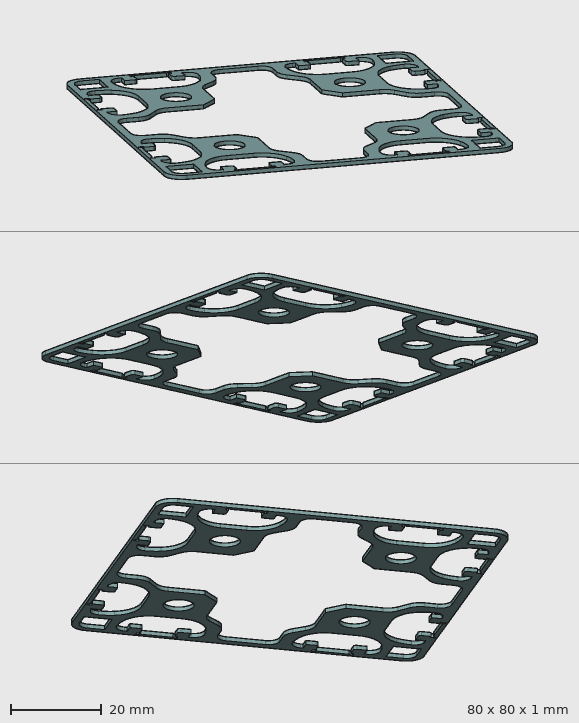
import cadquery as cq
import math

side = 80.0
thickness = 1.0
outer_radius = 4.0
half_side = side / 2

quarter_offset = side / 4
core_bore_diameter = 6.8

mouth_half_width = 4.0
lip_half_width = 7.0
lip_depth = 4.3
lip_radius = 0.6
slot_half_width = 10.0
slot_top_depth = 2.0
slot_floor_depth = 12.3
slot_shoulder_radius = 2.4
slot_floor_radius = 6.8

web_thickness = 1.0
web_end_thickness = 0.4
web_half_width = 3.7
notch_half_width = 4.6
notch_depth = 1.5

corner_hollow_near = 1.7
corner_hollow_far = 8.0
corner_hollow_radius = outer_radius - corner_hollow_near

outer_wall = 2.0
arm_half_width = 7.0
flare_half_width = 12.3
core_chamfer = 3.7
flare_start = 26.3
flare_end = 30.7
flare_radius = 4.0
arm_corner_radius = 2.6


def round_corners(prism, corners, radius):
    """Round the upright edges of a prism that stand at the given XY corners."""
    for x, y in corners:
        edge = cq.selectors.NearestToPointSelector((x, y, thickness / 2))
        prism = prism.edges("|Z").edges(edge).fillet(radius)
    return prism


def mirrored(points):
    return [(-x, y) for x, y in points]


def quarter_turns(shape):
    """Four copies of a shape spread around the Z axis."""
    return [shape.rotate((0, 0, 0), (0, 0, 1), 90 * turn) for turn in range(4)]


def make_slot():
    """Slot cutter centred on X = 0, opening towards the +Y face of the plate."""
    web_y = half_side - web_thickness
    notch_top_y = half_side - web_end_thickness
    notch_y = half_side - notch_depth
    lip_y = half_side - lip_depth
    top_y = half_side - slot_top_depth
    floor_y = half_side - slot_floor_depth

    shoulder_x = slot_half_width - slot_shoulder_radius
    flank_center_y = top_y - slot_shoulder_radius
    floor_x = math.sqrt(slot_half_width**2 - (flank_center_y - floor_y) ** 2)
    flank_mid = slot_half_width * math.sqrt(0.5)
    shoulder_mid = slot_shoulder_radius * math.sqrt(0.5)

    mouth = [
        (web_half_width, web_y),
        (notch_half_width, notch_top_y),
        (notch_half_width, notch_y),
        (mouth_half_width, notch_y),
        (mouth_half_width, lip_y),
        (lip_half_width, lip_y),
        (lip_half_width, top_y),
        (shoulder_x, top_y),
    ]
    shoulder_point = (shoulder_x + shoulder_mid, flank_center_y + shoulder_mid)
    widest_point = (slot_half_width, flank_center_y)
    flank_point = (flank_mid, flank_center_y - flank_mid)
    floor_point = (floor_x, floor_y)
    right = [shoulder_point, widest_point, flank_point, floor_point]
    left = mirrored(right)

    slot = (
        cq.Workplane("XY")
        .polyline(mouth)
        .threePointArc(right[0], right[1])
        .threePointArc(right[2], right[3])
        .lineTo(*left[3])
        .threePointArc(left[2], left[1])
        .threePointArc(left[0], mirrored(mouth)[-1])
    )
    for point in reversed(mirrored(mouth)[:-1]):
        slot = slot.lineTo(*point)
    slot = slot.close().extrude(thickness)

    slot = round_corners(slot, [floor_point, left[3]], slot_floor_radius)
    lip_corners = [(mouth_half_width, lip_y), (-mouth_half_width, lip_y)]
    return round_corners(slot, lip_corners, lip_radius)


def make_corner_hollow():
    """Square hollow in the +X +Y corner, rounded concentric with the plate corner."""
    width = corner_hollow_far - corner_hollow_near
    start = half_side - corner_hollow_far
    hollow = cq.Workplane("XY").box(width, width, thickness, centered=False).translate((start, start, 0))
    outer = half_side - corner_hollow_near
    return round_corners(hollow, [(outer, outer)], corner_hollow_radius)


def make_central_opening():
    """Opening with four arms that flare out between the cores of the quarters."""
    arm_end = half_side - outer_wall
    right_corners = [
        (arm_half_width, arm_end),
        (arm_half_width, flare_end),
        (flare_half_width, flare_start),
        (flare_half_width, flare_half_width + core_chamfer),
    ]
    corners = right_corners[::-1] + mirrored(right_corners)
    outline = []
    arm_corners = []
    flare_corners = []
    for _ in range(4):
        outline += corners
        arm_corners += [corners[3], corners[4]]
        flare_corners += [corners[1], corners[2], corners[5], corners[6]]
        corners = [(-y, x) for x, y in corners]

    opening = cq.Workplane("XY").polyline(outline).close().extrude(thickness)
    opening = round_corners(opening, arm_corners, arm_corner_radius)
    return round_corners(opening, flare_corners, flare_radius)


plate = cq.Workplane("XY").rect(side, side).extrude(thickness)
plate = plate.edges("|Z").fillet(outer_radius)

core_centers = [(x, y) for x in (-quarter_offset, quarter_offset) for y in (-quarter_offset, quarter_offset)]
core_bores = cq.Workplane("XY").pushPoints(core_centers).circle(core_bore_diameter / 2).extrude(thickness)
plate = plate.cut(core_bores).cut(make_central_opening())

slot = make_slot()
turned_cutters = [
    slot.translate((-quarter_offset, 0, 0)),
    slot.translate((quarter_offset, 0, 0)),
    make_corner_hollow(),
]
for cutter in turned_cutters:
    for turned in quarter_turns(cutter):
        plate = plate.cut(turned)

result = plate